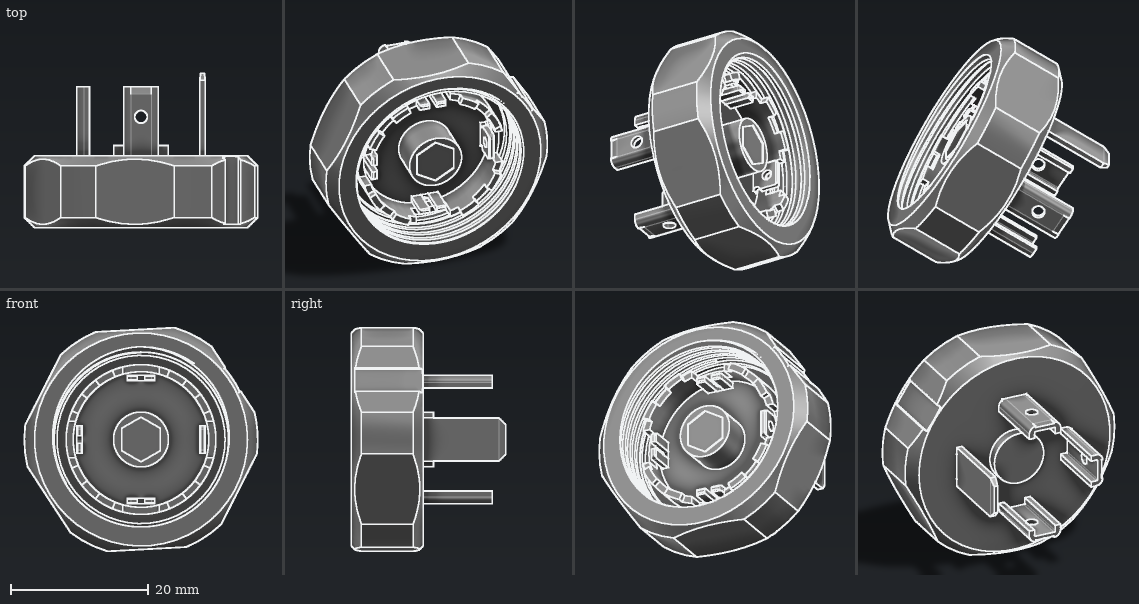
import cadquery as cq
import math

hex_half_step = 30.0
quarter_turn = 90.0

body_radius = 17.0
across_flats = 32.0
flats_turn = 3.13
body_length = 10.5
rim_chamfer = 1.5

groove_flat_angle = hex_half_step + flats_turn
groove_width = 4.1
groove_depth = 0.45
groove_start_y = rim_chamfer - (body_radius - across_flats / 2)

floor_y = 7.0
bore_radius = 12.73
relief_radius = 12.24
thread_end_y = 6.0
thread_pitch = 1.5
thread_depth = 0.77
thread_half_angle = 30.0
thread_start_turns = 0.75
thread_overlap = 0.1

ring_outer_radius = 10.9
ring_inner_radius = 9.87
tooth_tip_y = 2.0
tooth_gap_y = 3.0
tooth_angle = 15.0
pin_gap_width = 5.24
pin_gap_y = 5.5

post_radius = 4.0
post_front_y = 2.0
post_back_y = 12.0
hex_across_flats = 5.64
hex_depth = 0.12

pin_radius_to_center = 8.95
pin_thickness = 0.85
blade_width = 4.05
blade_front_y = 3.0
blade_corner_radius = 0.5
blade_edge_chamfer = 0.2

blade_slot_width = 1.12
channel_width = 5.06
channel_height = 1.9
channel_bend_radius = 1.05
channel_end_y = 20.53
channel_hole_diameter = 1.8
channel_hole_y = 16.15
tip_taper_length = 1.0
tip_taper_depth = 0.2

ground_hole_diameter = 1.5
ground_hole_y = 4.75
ground_notch_radius = 0.5
tab_width = 6.3
tab_end_y = 22.5
tab_tip_chamfer = 1.0
tab_taper_depth = 0.15

front_point = (0, 0, 0)
rear_point = (0, 1, 0)


def section_plane(y):
    """Workplane across the main axis: local x is X, local y is Z."""
    return cq.Workplane("XZ", origin=(0, y, 0))


def disc(radius, y_start, y_end):
    return section_plane(y_start).circle(radius).extrude(y_start - y_end)


def block(x_center, width, y_start, y_end, z_center, height):
    """Rectangular block running along Y."""
    return section_plane(y_start).center(x_center, z_center).rect(width, height).extrude(y_start - y_end)


def turned(shape, angle):
    """Turn about the main axis, from +X towards +Z."""
    return shape.rotate(rear_point, front_point, angle)


def hex_prism(flats_width, y_start, y_end):
    """Hexagonal prism with two opposite corners on the X axis."""
    corner_diameter = flats_width / math.cos(math.radians(hex_half_step))
    return section_plane(y_start).polygon(6, corner_diameter).extrude(y_start - y_end)


def housing_outside():
    body = disc(body_radius, 0, body_length).faces("<Y or >Y").chamfer(rim_chamfer)
    body = body.intersect(turned(hex_prism(across_flats, 0, body_length), flats_turn))
    groove = block(across_flats / 2, 2 * groove_depth, groove_start_y, body_length, 0, groove_width)
    return body.cut(turned(groove, groove_flat_angle))


def thread_cutter():
    """Helical V groove whose root meets the front face at the top of the bore."""
    start = -thread_start_turns * thread_pitch
    root_radius = bore_radius + thread_depth
    base_radius = bore_radius - thread_overlap
    half_base = (root_radius - base_radius) * math.tan(math.radians(thread_half_angle))
    helix = cq.Wire.makeHelix(thread_pitch, thread_end_y - start, bore_radius)
    vee = (
        cq.Workplane("XZ")
        .moveTo(base_radius, -half_base)
        .lineTo(root_radius, 0)
        .lineTo(base_radius, half_base)
        .close()
    )
    cutter = vee.sweep(cq.Workplane(helix), isFrenet=True)
    return cutter.translate((0, 0, start)).rotate((0, 0, 0), (1, 0, 0), -90)


def castellated_ring():
    ring = disc(ring_outer_radius, tooth_tip_y, floor_y)
    reach = 2 * ring_outer_radius
    for quarter in range(4):
        for middle, half_angle in ((0, 1.5 * tooth_angle), (quarter_turn / 2, 0.5 * tooth_angle)):
            half_width = reach * math.tan(math.radians(half_angle))
            wedge = (
                section_plane(tooth_tip_y)
                .polyline([(0, 0), (reach, -half_width), (reach, half_width)])
                .close()
                .extrude(tooth_tip_y - tooth_gap_y)
            )
            ring = ring.cut(turned(wedge, quarter_turn * quarter + middle))
        pin_gap = block(ring_outer_radius, ring_outer_radius, tooth_tip_y, pin_gap_y, 0, pin_gap_width)
        ring = ring.cut(turned(pin_gap, quarter_turn * quarter))
    return ring.cut(disc(ring_inner_radius, tooth_tip_y, floor_y))


def center_post():
    post = disc(post_radius, post_front_y, post_back_y)
    recess = hex_prism(hex_across_flats, post_front_y, post_front_y + hex_depth)
    return post.cut(turned(recess, hex_half_step))


def make_housing():
    body = housing_outside()
    body = body.cut(disc(bore_radius, 0, thread_end_y))
    body = body.cut(disc(relief_radius, thread_end_y, floor_y))
    body = body.union(castellated_ring()).union(center_post())
    for quarter in range(4):
        blade_hole = block(pin_radius_to_center, pin_thickness, floor_y, body_length, 0, blade_width)
        body = body.cut(turned(blade_hole, quarter_turn * quarter))
    return body.cut(thread_cutter(), clean=False)


def front_blade():
    """Blade up to the back of the housing, with rounded corners and bevelled edges at its tip."""
    blade = block(pin_radius_to_center, pin_thickness, blade_front_y, body_length, 0, blade_width)
    blade = blade.edges("<Y and |X").fillet(blade_corner_radius)
    inner_x = pin_radius_to_center - pin_thickness / 2
    outer_x = pin_radius_to_center + pin_thickness / 2
    tip_inset = blade_edge_chamfer
    bevel = (
        cq.Workplane("XY")
        .polyline(
            [
                (inner_x + tip_inset, blade_front_y),
                (outer_x - tip_inset, blade_front_y),
                (outer_x, blade_front_y + tip_inset),
                (outer_x, body_length),
                (inner_x, body_length),
                (inner_x, blade_front_y + tip_inset),
            ]
        )
        .close()
        .extrude(blade_width / 2, both=True)
    )
    return blade.intersect(bevel)


def cross_hole(diameter, y):
    """Cylinder along X through the plane of a blade."""
    return (
        cq.Workplane("YZ", origin=(pin_radius_to_center - pin_thickness, 0, 0))
        .center(y, 0)
        .circle(diameter / 2)
        .extrude(2 * pin_thickness)
    )


def channel():
    """Channel section whose web lies in the blade's plane and whose legs point to the main axis."""
    web_x = pin_radius_to_center + pin_thickness / 2
    leg_end_x = web_x - channel_height
    middle_x = web_x - channel_height / 2
    outside = block(middle_x, channel_height, body_length, channel_end_y, 0, channel_width)
    outside = outside.edges(">X and |Y").fillet(channel_bend_radius)
    inner_depth = channel_height - pin_thickness
    inside = block(
        leg_end_x + inner_depth / 2, inner_depth,
        body_length, channel_end_y,
        0, channel_width - 2 * pin_thickness,
    )
    inside = inside.edges(">X and |Y").fillet(channel_bend_radius - pin_thickness)
    web_flat = channel_width - 2 * channel_bend_radius
    taper = (
        cq.Workplane("XY")
        .polyline(
            [
                (web_x, channel_end_y - tip_taper_length),
                (web_x, channel_end_y),
                (web_x - tip_taper_depth, channel_end_y),
            ]
        )
        .close()
        .extrude(web_flat / 2, both=True)
    )
    hole = cross_hole(channel_hole_diameter, channel_hole_y)
    return outside.cut(inside).cut(taper).cut(hole)


def make_line_pin():
    slot = block(
        pin_radius_to_center, pin_thickness, blade_front_y, floor_y, 0, blade_slot_width
    ).union(cross_hole(blade_slot_width, floor_y))
    return front_blade().cut(slot).union(channel())


def ground_tab():
    tab = block(pin_radius_to_center, pin_thickness, body_length, tab_end_y, 0, tab_width)
    tab = tab.edges(">Y and |X").chamfer(tab_tip_chamfer)
    half = pin_thickness / 2
    outline = (
        cq.Workplane("XY", origin=(pin_radius_to_center, 0, 0))
        .polyline(
            [
                (-half, body_length),
                (half, body_length),
                (half, tab_end_y - tab_tip_chamfer),
                (half - tab_taper_depth, tab_end_y),
                (tab_taper_depth - half, tab_end_y),
                (-half, tab_end_y - tab_tip_chamfer),
            ]
        )
        .close()
        .extrude(tab_width / 2, both=True)
    )
    return tab.intersect(outline)


def make_ground_pin():
    blade = front_blade().cut(cross_hole(ground_hole_diameter, ground_hole_y))
    notch = cross_hole(2 * ground_notch_radius, floor_y - ground_notch_radius)
    for side in (-1, 1):
        blade = blade.cut(notch.translate((0, 0, side * blade_width / 2)))
    return blade.union(ground_tab())


housing = make_housing()
ground_pin = make_ground_pin()
line_pins = [turned(make_line_pin(), quarter_turn * quarter) for quarter in (1, 2, 3)]

result = cq.Compound.makeCompound(
    [housing.val(), ground_pin.val(), *[pin.val() for pin in line_pins]]
)